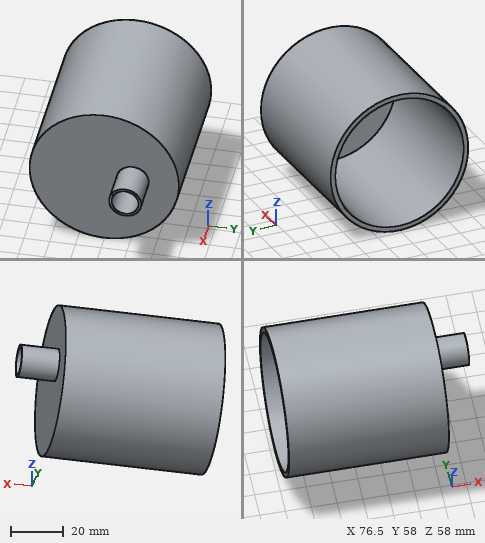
import cadquery as cq

total_length = 76.5
cup_length = 62.0
cup_diameter = 58.0
wall = 2.0
spout_diameter = 12.5
spout_bore = 10.5
spout_offset = 11.1

cup_inner_diameter = cup_diameter - 2 * wall
cavity_depth = cup_length - wall


def cylinder_along_x(diameter, start, end, y_offset=0.0):
    """Solid cylinder parallel to X between two X positions."""
    return (
        cq.Workplane("YZ", origin=(start, y_offset, 0))
        .circle(diameter / 2)
        .extrude(end - start)
    )


cup = cylinder_along_x(cup_diameter, 0, cup_length)
spout = cylinder_along_x(spout_diameter, cavity_depth, total_length, spout_offset)

cavity = cylinder_along_x(cup_inner_diameter, 0, cavity_depth)
bore = cylinder_along_x(spout_bore, 0, total_length, spout_offset)

result = cup.union(spout).cut(cavity).cut(bore)